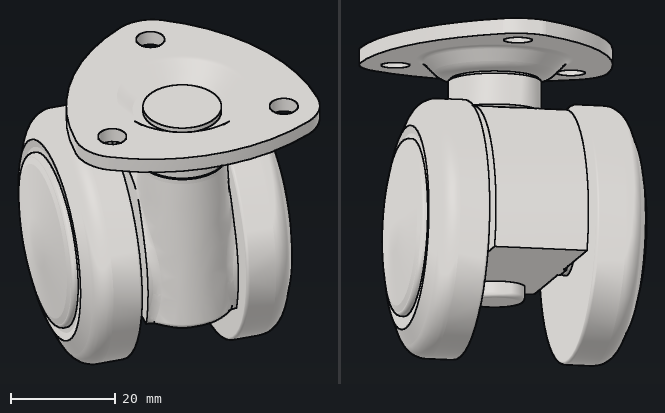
import cadquery as cq
import math


wheel_radius = 25.0
swivel_x = 16.95
plate_top_z = 40.0

sheet_thickness = 3.0
plate_side_reach = 21.85
plate_side_radius = 40.7
plate_corner_radius = 8.4
plate_corner_count = 3
screw_circle_radius = 19.95
screw_hole_radius = 2.7
dish_depth = 3.9
dish_top_radius = 13.05
dish_rim_bend = 1.9
dish_floor_bend = 1.25
dish_under_bend = 4.55

pin_radius = 5.8
pin_head_radius = 7.55
pin_head_height = 1.05
pin_bottom_z = -10.5
pin_end_rounding = 1.0

housing_width = 18.2
drum_radius = 23.9
housing_bottom_z = -7.5
hub_radius = 7.9
thrust_boss_height = 0.5
collar_radius = 9.0
collar_bottom_z = 26.0
collar_chamfer = 0.5
neck_bottom_z = 24.95
column_top_radius = 8.65
column_bottom_radius = 10.4
column_end_rounding = 1.2
drum_blend_radius = 2.35

wheel_inner_face = 10.45
wheel_inner_rounding = 0.6
hub_rounding = 0.65
tread_outer_edge = 16.4
shoulder_radius = 22.5
shoulder_distance = 19.95
crest_radius = 19.6
crest_distance = 21.3
recess_outer_radius = 18.15
recess_distance = 21.0
cap_radius = 17.1
cap_rounding = 0.8
cap_edge_distance = 22.2
cap_cone_radius = 15.1
cap_cone_distance = 22.6
cap_apex_distance = 24.5

plate_bottom_z = plate_top_z - sheet_thickness
dish_floor_z = plate_top_z - dish_depth
dish_bottom_z = dish_floor_z - sheet_thickness

hub_face = housing_width / 2 + thrust_boss_height


def disc(radius, bottom_z, top_z):
    """Upright cylinder on the swivel axis."""
    return (
        cq.Workplane("XY", origin=(swivel_x, 0, bottom_z))
        .circle(radius)
        .extrude(top_z - bottom_z)
    )


def frustum(bottom_radius, top_radius, bottom_z, top_z):
    """Upright cone frustum on the swivel axis."""
    return cq.Workplane(
        cq.Solid.makeCone(
            bottom_radius,
            top_radius,
            top_z - bottom_z,
            pnt=cq.Vector(swivel_x, 0, bottom_z),
        )
    )


def round_rim(body, z, radius):
    """Round the circular edge that is centred on the swivel axis at height z."""
    rim = cq.selectors.NearestToPointSelector((swivel_x, 0, z))
    return body.edges("%CIRCLE").edges(rim).fillet(radius)


def plate_outline():
    """Flat triangular plate with three bowed sides and rounded corners."""
    outline = None
    centre_offset = plate_side_reach - plate_side_radius
    for side in range(plate_corner_count):
        angle = 2 * math.pi * side / plate_corner_count
        bow = (
            cq.Workplane("XY", origin=(swivel_x, 0, plate_bottom_z))
            .center(centre_offset * math.cos(angle), centre_offset * math.sin(angle))
            .circle(plate_side_radius)
            .extrude(sheet_thickness)
        )
        outline = bow if outline is None else outline.intersect(bow)
    return outline.edges("|Z").fillet(plate_corner_radius)


def make_plate():
    """Mounting plate with a pressed dish, three screw holes and the king pin hole."""
    wall_shift = sheet_thickness * math.sqrt(2)
    under_top_radius = dish_top_radius + wall_shift - sheet_thickness
    under_bottom_radius = under_top_radius - dish_depth
    dish_floor_radius = dish_top_radius - dish_depth

    dish = frustum(under_bottom_radius, under_top_radius, dish_bottom_z, plate_bottom_z)
    plate = plate_outline().union(dish)
    plate = plate.cut(frustum(dish_floor_radius, dish_top_radius, dish_floor_z, plate_top_z))
    plate = round_rim(plate, plate_top_z, dish_rim_bend)
    plate = round_rim(plate, dish_floor_z, dish_floor_bend)
    plate = round_rim(plate, plate_bottom_z, dish_rim_bend)
    plate = round_rim(plate, dish_bottom_z, dish_under_bend)

    screw_holes = (
        cq.Workplane("XY", origin=(swivel_x, 0, plate_bottom_z))
        .polarArray(screw_circle_radius, 180, 360, plate_corner_count)
        .circle(screw_hole_radius)
        .extrude(sheet_thickness)
    )
    pin_hole = disc(pin_radius, dish_bottom_z, dish_floor_z)
    return plate.cut(screw_holes).cut(pin_hole)


def make_king_pin():
    """Straight pin through plate and housing, with a flat head on the dish floor."""
    shank = disc(pin_radius, pin_bottom_z, dish_floor_z).faces("<Z").edges().fillet(pin_end_rounding)
    head = disc(pin_head_radius, dish_floor_z, dish_floor_z + pin_head_height)
    return shank.union(head)


def cross_cylinder(radius, width):
    """Cylinder on the wheel axis, centred between the wheels."""
    return cq.Workplane("XZ").circle(radius).extrude(width / 2, both=True)


def housing_slab(width):
    """Block of the given width from the flat housing bottom up to the collar."""
    return cq.Workplane("XY", origin=(0, 0, housing_bottom_z)).box(
        4 * drum_radius,
        width,
        collar_bottom_z - housing_bottom_z,
        centered=(True, True, False),
    )


def make_housing():
    """Drum and tapered column between the wheels, with neck and collar above."""
    neck = disc(column_top_radius, neck_bottom_z, dish_bottom_z)
    collar = disc(collar_radius, collar_bottom_z, dish_bottom_z)
    collar = collar.faces("<Z or >Z").edges().chamfer(collar_chamfer)

    column = frustum(column_bottom_radius, column_top_radius, housing_bottom_z, neck_bottom_z)
    column = column.faces("<Z").edges().fillet(column_end_rounding)
    wide_drum = cross_cylinder(drum_radius, 2 * housing_width)
    drum_joint = cq.selectors.NearestToPointSelector((swivel_x, 0, drum_radius / 2))
    body = wide_drum.union(column.union(neck)).edges(drum_joint).fillet(drum_blend_radius)

    thrust_bosses = cross_cylinder(hub_radius, 2 * hub_face)
    body = body.intersect(housing_slab(housing_width))
    housing = body.union(thrust_bosses.intersect(housing_slab(2 * hub_face))).union(collar)
    return housing.cut(disc(pin_radius, housing_bottom_z, dish_bottom_z))


def make_wheel(side):
    """Wheel with hub and conical cap; side is -1 or +1 along Y."""
    profile = (
        cq.Workplane("XY")
        .moveTo(0, hub_face)
        .lineTo(hub_radius - hub_rounding, hub_face)
        .radiusArc((hub_radius, hub_face + hub_rounding), -hub_rounding)
        .lineTo(hub_radius, wheel_inner_face)
        .lineTo(wheel_radius - wheel_inner_rounding, wheel_inner_face)
        .radiusArc((wheel_radius, wheel_inner_face + wheel_inner_rounding), -wheel_inner_rounding)
        .lineTo(wheel_radius, tread_outer_edge)
        .tangentArcPoint((shoulder_radius, shoulder_distance), relative=False)
        .lineTo(crest_radius, crest_distance)
        .lineTo(recess_outer_radius, recess_distance)
        .lineTo(cap_radius, recess_distance)
        .lineTo(cap_radius, cap_edge_distance - cap_rounding)
        .radiusArc((cap_radius - cap_rounding, cap_edge_distance), -cap_rounding)
        .lineTo(cap_cone_radius, cap_cone_distance)
        .lineTo(0, cap_apex_distance)
        .close()
    )
    wheel = profile.revolve(360, (0, 0, 0), (0, 1, 0))
    return wheel if side > 0 else wheel.mirror("XZ")


plate = make_plate()
king_pin = make_king_pin()
housing = make_housing()
wheels = [make_wheel(side) for side in (-1, 1)]

result = cq.Compound.makeCompound(
    [plate.val(), king_pin.val(), housing.val(), *[wheel.val() for wheel in wheels]]
)